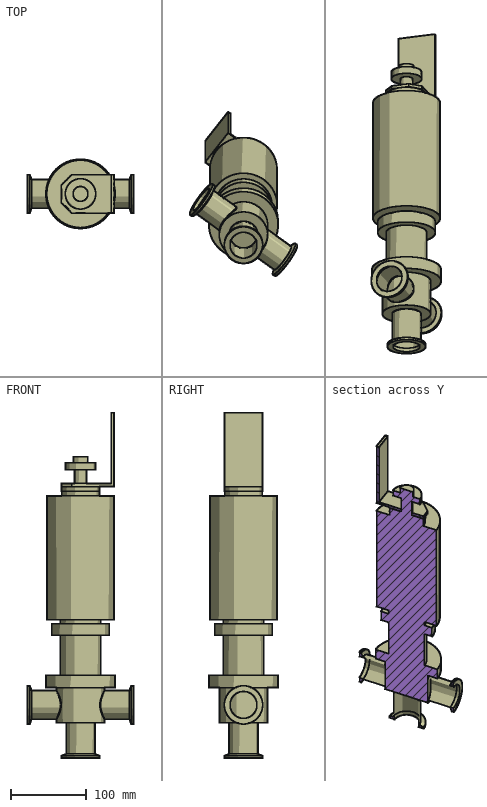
import cadquery as cq

CHAMBER_BOTTOM = 46.5
CLAMP_BOTTOM = 93.0
CLAMP_TOP = 109.5
RING_BOTTOM = 162.0
RING_TOP = 177.5
ACTUATOR_BOTTOM = 182.5
ACTUATOR_TOP = 346.2
CAP_STEP = 352.0
BRACKET_BOTTOM = 358.5
DISC_BOTTOM = 380.5
DISC_TOP = 390.0
KNOB_TOP = 398.2
TOTAL_HEIGHT = 456.0

CHAMBER_DIA = 64.0
CLAMP_DIA = 91.5
NECK_DIA = 54.0
RING_DIA = 76.0
ACTUATOR_DIA = 89.0
CAP_BASE_DIA = 50.0
CAP_DIA = 50.5
STEM_DIA = 16.0
DISC_DIA = 40.0
KNOB_DIA = 19.5

PORT_SPAN = 140.0
PORT_HEIGHT = 70.3
PIPE_DIA = 38.5
BORE_DIA = 35.5
FERRULE_DIA = 50.5
FERRULE_RIM = 3.0
FERRULE_LENGTH = 5.5

BRACKET_WIDTH = 50.5
BRACKET_THICKNESS = 4.0
BRACKET_CORNER = 13.5
BRACKET_FRONT = -BRACKET_WIDTH / 2
BRACKET_BACK = ACTUATOR_DIA / 2


def disc(diameter, bottom, top):
    """Vertical cylinder on the valve axis."""
    return cq.Workplane("XY").workplane(offset=bottom).circle(diameter / 2).extrude(top - bottom)


def make_port(length):
    """Hollow pipe along +Z with its ferrule face at Z = 0."""
    return (
        cq.Workplane("XZ")
        .polyline([
            (BORE_DIA / 2, 0),
            (FERRULE_DIA / 2, 0),
            (FERRULE_DIA / 2, FERRULE_RIM),
            (PIPE_DIA / 2, FERRULE_LENGTH),
            (PIPE_DIA / 2, length),
            (BORE_DIA / 2, length),
        ])
        .close()
        .revolve(360, (0, 0, 0), (0, 1, 0))
    )


def make_valve():
    """Valve body: turned stack, two side ports and a bottom port."""
    sections = [
        (CHAMBER_DIA, CHAMBER_BOTTOM, CLAMP_BOTTOM),
        (CLAMP_DIA, CLAMP_BOTTOM, CLAMP_TOP),
        (NECK_DIA, CLAMP_TOP, RING_BOTTOM),
        (RING_DIA, RING_BOTTOM, RING_TOP),
        (NECK_DIA, RING_TOP, ACTUATOR_BOTTOM),
        (ACTUATOR_DIA, ACTUATOR_BOTTOM, ACTUATOR_TOP),
        (CAP_BASE_DIA, ACTUATOR_TOP, CAP_STEP),
        (CAP_DIA, CAP_STEP, BRACKET_BOTTOM),
        (STEM_DIA, BRACKET_BOTTOM, DISC_BOTTOM),
        (DISC_DIA, DISC_BOTTOM, DISC_TOP),
        (KNOB_DIA, DISC_TOP, KNOB_TOP),
    ]
    valve = make_port(CHAMBER_BOTTOM)
    for diameter, bottom, top in sections:
        valve = valve.union(disc(diameter, bottom, top))

    for side in (-1, 1):
        port = (
            make_port(PORT_SPAN / 2)
            .rotate((0, 0, 0), (0, 1, 0), -90 * side)
            .translate((side * PORT_SPAN / 2, 0, PORT_HEIGHT))
        )
        valve = valve.union(port)
    return valve


def make_bracket():
    """L-shaped plate clamped on the cap, with a hole for the stem."""
    bracket_length = BRACKET_BACK - BRACKET_FRONT
    foot = (
        cq.Workplane("XY")
        .box(bracket_length, BRACKET_WIDTH, BRACKET_THICKNESS, centered=(False, True, False))
        .edges("|Z and <X")
        .chamfer(BRACKET_CORNER)
        .translate((BRACKET_FRONT, 0, BRACKET_BOTTOM))
    )
    upright = (
        cq.Workplane("XY")
        .box(
            BRACKET_THICKNESS,
            BRACKET_WIDTH,
            TOTAL_HEIGHT - BRACKET_BOTTOM,
            centered=(False, True, False),
        )
        .translate((BRACKET_BACK - BRACKET_THICKNESS, 0, BRACKET_BOTTOM))
    )
    stem_hole = disc(STEM_DIA, BRACKET_BOTTOM, BRACKET_BOTTOM + BRACKET_THICKNESS)
    return foot.union(upright).cut(stem_hole)


valve = make_valve()
bracket = make_bracket()
result = cq.Compound.makeCompound([valve.val(), bracket.val()])